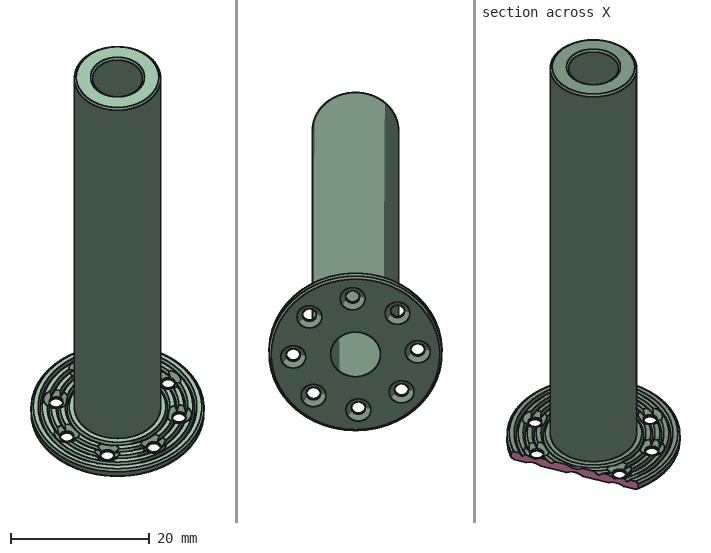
import cadquery as cq
import math

total_height = 71.88
flange_diameter = 25.0
flange_thickness = 1.6
flange_chamfer = 0.33

tube_diameter = 12.5
bore_diameter = 7.2
tube_chamfer = 0.3
bore_chamfer = 0.3

hole_count = 8
hole_diameter = 2.0
hole_circle_diameter = 18.0
countersink_diameter = 3.6
countersink_depth = 0.6

groove_count = 4
groove_pitch = 1.3
groove_width = 0.6
groove_angle = 60.0
groove_depth = groove_width / 2 / math.tan(math.radians(groove_angle / 2))
first_groove_radius = 7.28


def make_flange():
    """Disc standing on Z = 0 with both rims chamfered."""
    disc = cq.Workplane("XY").circle(flange_diameter / 2).extrude(flange_thickness)
    return disc.faces("<Z or >Z").edges().chamfer(flange_chamfer)


def make_tube():
    """Solid post on the flange axis with a chamfered top rim."""
    post = cq.Workplane("XY").circle(tube_diameter / 2).extrude(total_height)
    return post.faces(">Z").edges().chamfer(tube_chamfer)


def groove_cutter(radius):
    """V-shaped ring, point down, centred on the given radius."""
    half_width = groove_width / 2
    section = (
        cq.Workplane("XZ")
        .moveTo(radius - half_width, flange_thickness)
        .lineTo(radius + half_width, flange_thickness)
        .lineTo(radius, flange_thickness - groove_depth)
        .close()
    )
    return section.revolve(360, (0, 0, 0), (0, 1, 0))


def cut_grooves(flange):
    """Concentric grooves at an even radial pitch."""
    for index in range(groove_count):
        flange = flange.cut(groove_cutter(first_groove_radius + index * groove_pitch))
    return flange


def screw_hole_cutter():
    """Straight hole opening into a conical countersink at each flange face."""
    hole_radius = hole_diameter / 2
    countersink_radius = countersink_diameter / 2
    section = (
        cq.Workplane("XZ")
        .moveTo(0, 0)
        .lineTo(countersink_radius, 0)
        .lineTo(hole_radius, countersink_depth)
        .lineTo(hole_radius, flange_thickness - countersink_depth)
        .lineTo(countersink_radius, flange_thickness)
        .lineTo(0, flange_thickness)
        .close()
    )
    return section.revolve(360, (0, 0, 0), (0, 1, 0))


def cut_screw_holes(flange):
    """Screw holes evenly spaced around the flange axis."""
    cutter = screw_hole_cutter().translate((hole_circle_diameter / 2, 0, 0))
    for index in range(hole_count):
        flange = flange.cut(cutter.rotate((0, 0, 0), (0, 0, 1), index * 360 / hole_count))
    return flange


def cut_bore(body):
    """Through bore along the axis, chamfered at the top mouth."""
    bored = body.cut(cq.Workplane("XY").circle(bore_diameter / 2).extrude(total_height))
    bore_mouth = bored.faces(">Z").edges(cq.selectors.RadiusNthSelector(0))
    return bore_mouth.chamfer(bore_chamfer)


flange = cut_grooves(cut_screw_holes(make_flange()))
result = cut_bore(flange.union(make_tube()))